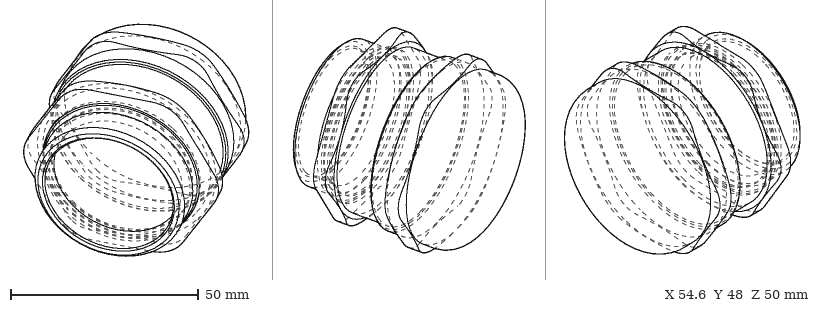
import cadquery as cq
import math


thread_length = 11.0
thread_diameter = 41.98
thread_chamfer = 1.2
thread_end_y = -thread_length
thread_shoulder_y = -1.5

ring_outer_diameter = 43.0
ring_section_radius = 1.1
ring_front_y = -1.65
ring_recess_diameter = 43.9
ring_recess_depth = 1.0

bore_diameter = 36.0
bore_chamfer = 0.5
bore_depth = 8.5

hex_sides = 6
hex_across_flats = 50.0
hex_corner_radius = 10.0
body_hex_chamfer_angle = 30.0
cap_hex_chamfer_angle = 20.0
envelope_diameter = 60.0
body_hex_length = 5.0
cap_hex_start_y = 21.45
cap_hex_length = 6.0

body_diameter = 47.0
cap_diameter = 49.5
cap_start_y = 16.0
cap_end_y = 37.0
cap_chamfer = 0.5
cap_round_radius = 6.0


def cylinder(diameter, start_y, end_y):
    """Cylinder on the Y axis between two stations."""
    start_plane = cq.Workplane("XZ", origin=(0, start_y, 0))
    return start_plane.circle(diameter / 2).extrude(start_y - end_y)


def hexagon(start_y, length):
    """Hexagonal prism along Y with rounded corners and flats facing up and down."""
    sharp_corner_diameter = hex_across_flats / math.cos(math.pi / hex_sides)
    return (
        cq.Workplane("XZ", origin=(0, start_y, 0))
        .polygon(hex_sides, sharp_corner_diameter)
        .extrude(-length)
        .edges("|Y")
        .fillet(hex_corner_radius)
    )


def chamfer_envelope(start_y, length, end_faces, face_diameter, angle):
    """Cylinder with cones that run from face_diameter outward on the selected end faces."""
    cone_width = (envelope_diameter - face_diameter) / 2
    cone_drop = cone_width * math.tan(math.radians(angle))
    blank = cylinder(envelope_diameter, start_y, start_y + length)
    return blank.faces(end_faces).chamfer(cone_drop, cone_width)


def connecting_thread():
    """Plain thread cylinder with chamfered ends on a core of the chamfers' small diameter."""
    core_diameter = thread_diameter - 2 * thread_chamfer
    sleeve = cylinder(thread_diameter, thread_end_y, thread_shoulder_y)
    sleeve = sleeve.faces("<Y or >Y").chamfer(thread_chamfer)
    return sleeve.union(cylinder(core_diameter, thread_end_y, body_hex_length))


def sealing_ring():
    """Round-section ring lying in the seat recess."""
    ring_center_radius = ring_outer_diameter / 2 - ring_section_radius
    ring_center_y = ring_front_y + ring_section_radius
    section_plane = cq.Plane(
        origin=(ring_center_radius, ring_center_y, 0), xDir=(-1, 0, 0), normal=(0, 0, 1)
    )
    return (
        cq.Workplane(section_plane)
        .circle(ring_section_radius)
        .revolve(360, (ring_center_radius, 0), (ring_center_radius, 1))
    )


def body_hexagon():
    """Hexagon chamfered on the cap side and recessed for the sealing ring in the seat face."""
    envelope = chamfer_envelope(0, body_hex_length, ">Y", hex_across_flats, body_hex_chamfer_angle)
    recess = cylinder(ring_recess_diameter, 0, ring_recess_depth)
    return hexagon(0, body_hex_length).intersect(envelope).cut(recess)


def cap():
    """Domed cap with its hexagon."""
    dome = (
        cylinder(cap_diameter, cap_start_y, cap_end_y)
        .faces(">Y").edges().fillet(cap_round_radius)
        .faces("<Y").edges().chamfer(cap_chamfer)
    )
    envelope = chamfer_envelope(
        cap_hex_start_y, cap_hex_length, "<Y or >Y", cap_diameter, cap_hex_chamfer_angle
    )
    return dome.union(hexagon(cap_hex_start_y, cap_hex_length).intersect(envelope))


def entry_bore():
    """Blind bore with a chamfered mouth."""
    bore = cylinder(bore_diameter, thread_end_y, thread_end_y + bore_depth)
    mouth_radius = bore_diameter / 2 + bore_chamfer
    mouth = cq.Solid.makeCone(
        mouth_radius,
        bore_diameter / 2,
        bore_chamfer,
        pnt=cq.Vector(0, thread_end_y, 0),
        dir=cq.Vector(0, 1, 0),
    )
    return bore.union(cq.Workplane(mouth))


body = body_hexagon().union(cylinder(body_diameter, body_hex_length, cap_start_y))
result = body.union(connecting_thread()).union(sealing_ring()).union(cap()).cut(entry_bore())